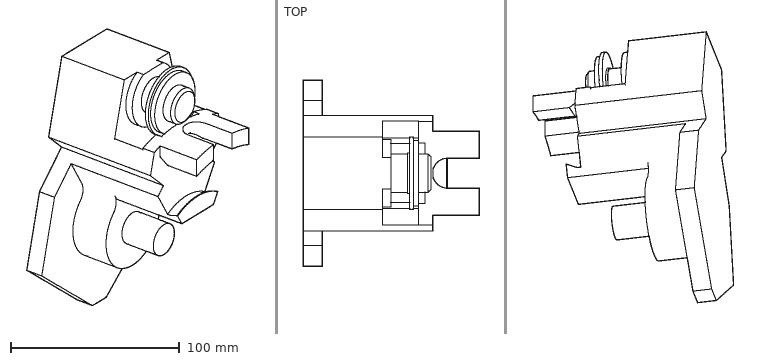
import cadquery as cq
import math

PLATE_THICKNESS = 11.4
BOSS_END = 36.4
POCKET_START = 47.2
COLLAR_END = 52.0
PIN_END = 60.1
POCKET_END = 68.4
RELIEF_END = 72.4
BODY_END = 77.0
LIP_END = 85.6
PRONG_END = 104.5

TOP_HALF, TOP_Z = 21.6, 171.2
UPPER_HALF, UPPER_Z = 34.3, 122.0
WAIST_HALF, WAIST_Z = 21.9, 110.0
SHOULDER_HALF, SHOULDER_Z = 43.0, 88.9
LOWER_HALF, LOWER_Z = 110.45 / 2, 41.0
FOOT_HALF = 6.6

SHELF_TOP_Z = 104.8
SHELF_TOP_HALF = WAIST_HALF + WAIST_Z - SHELF_TOP_Z
SHELF_BOTTOM_Z = 84.2
FLANK_LEAN = math.radians(30)

PIN_Z = 58.35
PIN_RADIUS = 10.15
BOSS_RADIUS = 25.4
BOSS_BLEND_RADIUS = 9.5
GROOVE_RADIUS = 35.4
LIP_RADIUS = 38.1
LIP_RIM_WIDTH = 0.5
GROOVE_FLAT_END = 78.5
GROOVE_CURVE_END = 80.1
PRONG_INNER_RADIUS = 73.0
PRONG_ROOT_RADIUS = 76.5
PRONG_BEVEL_END = 82.5
TABLE_RADIUS = 83.6

PRONG_HALF = 25.0
PRONG_GAP_RADIUS = 8.85

SPINDLE_Z = 153.4
SPINDLE_RADIUS = 22.8 / 2
SPINDLE_END = 75.9
SPINDLE_CHAMFER = 1.8
COLLAR_RADIUS = 20.1
RING_START, RING_RADIUS = 61.9, 12.0
FLANGE_START, FLANGE_RADIUS = 63.1, 21.6
STEP_START, STEP_RADIUS = 65.3, 19.4
POCKET_RADIUS = 35.7
RELIEF_RADIUS = 22.4

TROUGH_TOP_HALF = 20.8
TROUGH_WALL_BOTTOM_HALF = 17.5
TROUGH_WALL_LEAN = math.radians(14.5)
TROUGH_FLOOR_RADIUS = 20.5


def prism(sketch_points, start, end):
    """Extrude a closed (y, z) outline along X."""
    plane = cq.Workplane("YZ", origin=(start, 0, 0))
    return plane.polyline(sketch_points).close().extrude(end - start)


def mirrored(right_side):
    """Close a (half width, z) chain, listed top to bottom, with its mirror image."""
    return right_side + [(-y, z) for y, z in reversed(right_side)]


def rod(z, radius, start, end):
    """Cylinder along X on the mid plane at height z."""
    return cq.Workplane("YZ", origin=(start, 0, z)).circle(radius).extrude(end - start)


def flank_half(z):
    """Half width between the leaning shelf flanks at height z."""
    return SHELF_TOP_HALF - (SHELF_TOP_Z - z) * math.tan(FLANK_LEAN)


def make_plate():
    """Lower back plate."""
    outline = [
        (WAIST_HALF, WAIST_Z),
        (SHOULDER_HALF, SHOULDER_Z),
        (LOWER_HALF, LOWER_Z),
        (FOOT_HALF, 0),
    ]
    return prism(mirrored(outline), 0, PLATE_THICKNESS)


def make_body():
    """Upper block and the shelf under its waist."""
    outline = [
        (TOP_HALF, TOP_Z),
        (UPPER_HALF, UPPER_Z),
        (WAIST_HALF, WAIST_Z),
        (SHELF_TOP_HALF, SHELF_TOP_Z),
        (flank_half(SHELF_BOTTOM_Z), SHELF_BOTTOM_Z),
    ]
    return prism(mirrored(outline), 0, BODY_END)


def make_boss():
    """Round boss whose top blends into the shelf flanks with concave arcs."""
    reach = BOSS_RADIUS + BOSS_BLEND_RADIUS
    flank_at_axis = flank_half(PIN_Z)
    normal_offset = flank_at_axis * math.cos(FLANK_LEAN) + BOSS_BLEND_RADIUS
    along = math.sqrt(reach**2 - normal_offset**2)
    centre_y = normal_offset * math.cos(FLANK_LEAN) + along * math.sin(FLANK_LEAN)
    centre_z = PIN_Z - normal_offset * math.sin(FLANK_LEAN) + along * math.cos(FLANK_LEAN)

    def on_blend(angle):
        y = centre_y - BOSS_BLEND_RADIUS * math.cos(angle)
        return y, centre_z + BOSS_BLEND_RADIUS * math.sin(angle)

    boss_angle = -math.atan2(centre_z - PIN_Z, centre_y)
    flank_y, flank_z = on_blend(FLANK_LEAN)
    middle_y, middle_z = on_blend((boss_angle + FLANK_LEAN) / 2)
    boss_y, boss_z = on_blend(boss_angle)

    web = (
        cq.Workplane("YZ")
        .moveTo(-flank_y, flank_z)
        .lineTo(flank_y, flank_z)
        .threePointArc((middle_y, middle_z), (boss_y, boss_z))
        .lineTo(-boss_y, boss_z)
        .threePointArc((-middle_y, middle_z), (-flank_y, flank_z))
        .close()
        .extrude(BOSS_END)
    )
    return rod(PIN_Z, BOSS_RADIUS, 0, BOSS_END).union(web)


def revolve_about_pin(profile):
    """Turn a wire, drawn as (x, radius), once around the pin axis."""
    turned = profile.close().revolve(360, (0, 0, 0), (1, 0, 0))
    return turned.translate((0, 0, PIN_Z))


def make_lip():
    """Shelf tip with a shallow groove that rises to a rim."""
    rim_start = LIP_END - LIP_RIM_WIDTH
    curve_middle = (GROOVE_FLAT_END + GROOVE_CURVE_END) / 2
    slope = (LIP_RADIUS - GROOVE_RADIUS) / (rim_start - curve_middle)
    curve_end_radius = LIP_RADIUS - slope * (rim_start - GROOVE_CURVE_END)
    ring = revolve_about_pin(
        cq.Workplane("XY")
        .moveTo(POCKET_END, 0)
        .lineTo(POCKET_END, GROOVE_RADIUS)
        .lineTo(GROOVE_FLAT_END, GROOVE_RADIUS)
        .tangentArcPoint((GROOVE_CURVE_END, curve_end_radius), relative=False)
        .lineTo(rim_start, LIP_RADIUS)
        .lineTo(LIP_END, LIP_RADIUS)
        .lineTo(LIP_END, 0)
    )
    outline = [
        (SHELF_TOP_HALF, SHELF_TOP_Z),
        (flank_half(SHELF_BOTTOM_Z), SHELF_BOTTOM_Z),
    ]
    return prism(mirrored(outline), POCKET_END, LIP_END).intersect(ring)


def make_prongs():
    """Two prongs cut from a ring around the pin axis, with a round-ended gap."""
    ring = revolve_about_pin(
        cq.Workplane("XY")
        .moveTo(POCKET_END, PRONG_ROOT_RADIUS)
        .lineTo(BODY_END, PRONG_ROOT_RADIUS)
        .lineTo(PRONG_BEVEL_END, PRONG_INNER_RADIUS)
        .lineTo(PRONG_END, PRONG_INNER_RADIUS)
        .lineTo(PRONG_END, TABLE_RADIUS)
        .lineTo(POCKET_END, TABLE_RADIUS)
    )
    ring_top = PIN_Z + TABLE_RADIUS
    strip = prism(mirrored([(PRONG_HALF, ring_top), (PRONG_HALF, PIN_Z)]), RELIEF_END, PRONG_END)
    gap_centre = LIP_END
    gap = (
        cq.Workplane("XY", origin=(0, 0, PIN_Z))
        .moveTo(PRONG_END, PRONG_GAP_RADIUS)
        .lineTo(gap_centre, PRONG_GAP_RADIUS)
        .threePointArc((gap_centre - PRONG_GAP_RADIUS, 0), (gap_centre, -PRONG_GAP_RADIUS))
        .lineTo(PRONG_END, -PRONG_GAP_RADIUS)
        .close()
        .extrude(TABLE_RADIUS)
    )
    return ring.intersect(strip).cut(gap)


def make_trough():
    """Deeper channel below the round pocket floor."""
    rim_z = SPINDLE_Z - math.sqrt(POCKET_RADIUS**2 - TROUGH_TOP_HALF**2)
    wall_drop = (TROUGH_TOP_HALF - TROUGH_WALL_BOTTOM_HALF) / math.tan(TROUGH_WALL_LEAN)
    wall_bottom_z = rim_z - wall_drop
    floor_centre_z = wall_bottom_z + math.sqrt(TROUGH_FLOOR_RADIUS**2 - TROUGH_WALL_BOTTOM_HALF**2)
    floor_z = floor_centre_z - TROUGH_FLOOR_RADIUS
    return (
        cq.Workplane("YZ", origin=(POCKET_START, 0, 0))
        .moveTo(-TROUGH_TOP_HALF, rim_z)
        .lineTo(-TROUGH_WALL_BOTTOM_HALF, wall_bottom_z)
        .threePointArc((0, floor_z), (TROUGH_WALL_BOTTOM_HALF, wall_bottom_z))
        .lineTo(TROUGH_TOP_HALF, rim_z)
        .close()
        .extrude(POCKET_END - POCKET_START)
    )


def make_table_clearance():
    """Everything of the body above the curved table in front of the pocket."""
    block = prism(mirrored([(UPPER_HALF, TOP_Z), (UPPER_HALF, UPPER_Z)]), POCKET_END, BODY_END)
    return block.cut(rod(PIN_Z, TABLE_RADIUS, POCKET_END, BODY_END))


def make_spindle():
    """Stepped spindle on a round collar that is cut flat with the body top."""
    collar = rod(SPINDLE_Z, COLLAR_RADIUS, POCKET_START, COLLAR_END)
    below_top = prism(mirrored([(COLLAR_RADIUS, TOP_Z), (COLLAR_RADIUS, WAIST_Z)]), 0, COLLAR_END)
    spindle = rod(SPINDLE_Z, SPINDLE_RADIUS, POCKET_START, SPINDLE_END)
    spindle = spindle.faces(">X").chamfer(SPINDLE_CHAMFER)
    return (
        spindle.union(collar.intersect(below_top))
        .union(rod(SPINDLE_Z, RING_RADIUS, RING_START, FLANGE_START))
        .union(rod(SPINDLE_Z, FLANGE_RADIUS, FLANGE_START, STEP_START))
        .union(rod(SPINDLE_Z, STEP_RADIUS, STEP_START, POCKET_END))
    )


body = (
    make_body()
    .cut(rod(SPINDLE_Z, POCKET_RADIUS, POCKET_START, POCKET_END))
    .cut(make_trough())
    .cut(make_table_clearance())
    .union(make_prongs())
    .cut(rod(SPINDLE_Z, RELIEF_RADIUS, POCKET_START, RELIEF_END))
)

result = (
    body.union(make_plate())
    .union(make_boss())
    .union(rod(PIN_Z, PIN_RADIUS, 0, PIN_END))
    .union(make_lip())
    .union(make_spindle())
)